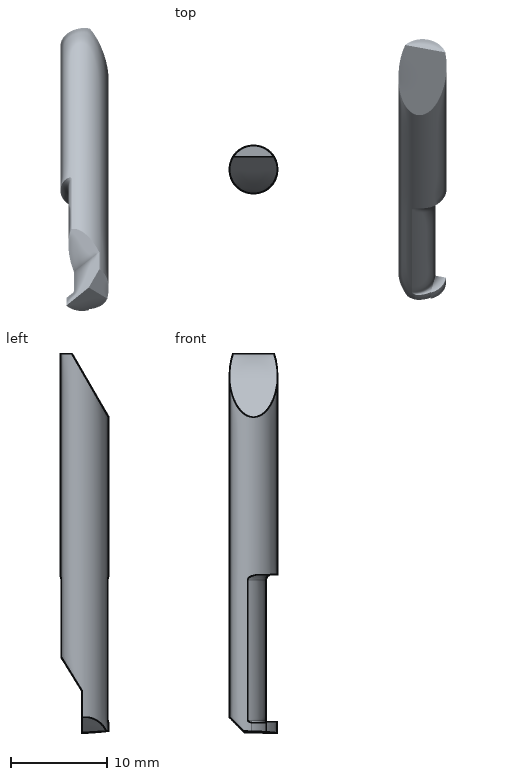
import cadquery as cq
import math

diameter = 5.0
radius = diameter / 2
length = 39.5
clear = 2 * diameter

top_land_y = 1.3
top_slope_angle = 30.0

rake_y = 0.28
rake_top = 4.42
rake_runout = 8.05

neck_shift = 1.2
neck_top = 16.5
neck_bottom = 1.1
neck_top_fillet = 0.55
neck_bottom_fillet = 0.28

head_shift = 0.45
corner_x = -0.9
corner_height = 1.7
corner_base = 0.08

tip_radius = 2.3
tip_reach = 2.45
tip_center_x = tip_reach - tip_radius
tip_root_x = radius - neck_shift
tip_top = 1.22

end_relief_angle = 3.5
end_side_angle = 1.5


def end_clearance():
    """Block below the inclined end face, pivoting on the tip corner."""
    block = cq.Workplane("XY").box(2 * clear, 2 * clear, clear, centered=(True, True, False))
    block = block.translate((0, 0, -clear))
    block = block.rotate((0, 0, 0), (1, 0, 0), -end_relief_angle)
    block = block.rotate((0, 0, 0), (0, 1, 0), end_side_angle)
    return block.translate((tip_reach, rake_y, 0))


def top_slope():
    """Wedge that bevels the front of the top end."""
    drop = (top_land_y + radius) / math.tan(math.radians(top_slope_angle))
    profile = [(top_land_y, length), (-radius, length - drop), (-radius, length)]
    return cq.Workplane("YZ").polyline(profile).close().extrude(clear, both=True)


def rake_flat():
    """Material behind the rake face, with its sloped run-out."""
    profile = [(rake_y, 0), (rake_y, rake_top), (radius, rake_runout), (radius, 0)]
    return cq.Workplane("YZ").polyline(profile).close().extrude(clear, both=True)


def shifted_relief(shift, bottom, top):
    """Block around a round hole of the bar's size shifted toward -X."""
    return (
        cq.Workplane("XY", origin=(-shift, 0, bottom))
        .rect(2 * clear, 2 * clear)
        .circle(radius)
        .extrude(top - bottom)
    )


def neck_relief():
    block = shifted_relief(neck_shift, neck_bottom, neck_top)
    block = block.faces(">Z").edges("%CIRCLE").fillet(neck_top_fillet)
    block = block.faces("<Z").edges("%CIRCLE").fillet(neck_bottom_fillet)
    return keep_cutting_side(block, neck_shift)


def head_relief():
    return keep_cutting_side(shifted_relief(head_shift, 0, neck_bottom), head_shift)


def keep_cutting_side(block, shift):
    """Limit a relief to +X of the line where both circles cross."""
    side = cq.Workplane("XY", origin=(-shift / 2, 0, 0)).box(
        clear, clear, length, centered=(False, True, False)
    )
    return block.intersect(side)


def corner_chamfer():
    profile = [
        (-radius, corner_height),
        (corner_x, corner_base),
        (corner_x, 0),
        (-radius, 0),
    ]
    return cq.Workplane("XZ").polyline(profile).close().extrude(clear, both=True)


def tip_seat():
    """Space beside the head that the tip occupies."""
    height = neck_bottom + neck_bottom_fillet
    return cq.Workplane("XY", origin=(tip_root_x, 0, 0)).box(
        clear, clear, height, centered=(False, True, False)
    )


def make_shank():
    body = cq.Workplane("XY").circle(radius).extrude(length)
    for cutter in (
        top_slope(),
        rake_flat(),
        neck_relief(),
        head_relief(),
        corner_chamfer(),
        tip_seat(),
        end_clearance(),
    ):
        body = body.cut(cutter)
    return body


def make_tip():
    """Segment of a smaller cylinder in front of the rake face."""
    body = cq.Workplane("XY").center(tip_center_x, 0).circle(tip_radius).extrude(tip_top)
    envelope = cq.Workplane("XY", origin=(tip_root_x, rake_y - clear, 0)).box(
        clear, clear, tip_top, centered=False
    )
    return body.intersect(envelope).cut(end_clearance())


shank = make_shank()
tip = make_tip()
result = cq.Compound.makeCompound([shank.val(), tip.val()])